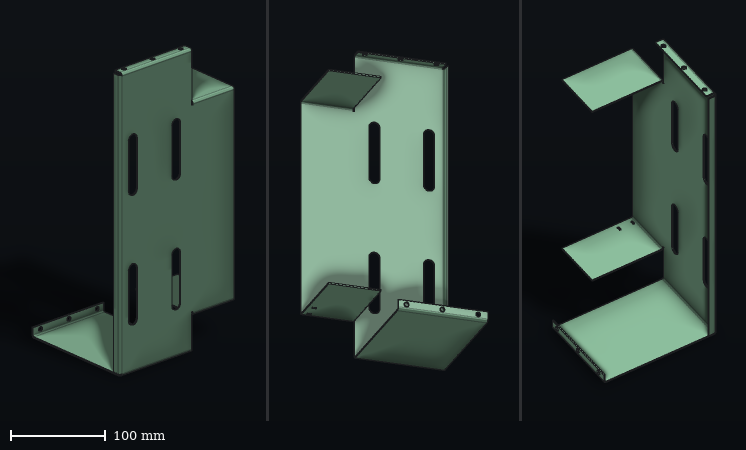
import cadquery as cq
length_x = 141.0
width_y = 161.69
height_z = 348.2

sheet = 1.6
bend_inside = sheet
bend_outside = bend_inside + sheet

lip_height = 11.7
top_flange_length = 11.5
side_flange_length = 10.3
corner_gap = 0.9

base_width = 100.0
base_start_y = 1.69
plate_end_y = base_start_y + base_width
wing_bottom_z = 41.5
wing_top_z = 287.2
shelf_length = 90.0
relief_width = 1.5
shelf_start_y = plate_end_y + relief_width
relief_overrun = 0.9
relief_depth = bend_outside + relief_overrun

hole_diameter = 5.1
hole_count = 3
hole_pitch = 40.0
first_hole_offset = 10.85
first_hole_y = base_start_y + first_hole_offset
hole_ys = [first_hole_y + i * hole_pitch for i in range(hole_count)]
lip_hole_z = 7.1
top_hole_x = 7.5
slot_width = 12.0
slot_length = 70.0
slot_ys = [18.5, 79.5]
slot_zs = [89.9, 238.8]
tie_slot_width = 2.0
tie_slot_length = 4.5
tie_slot_edge_distance = 7.5
tie_slot_y = width_y - tie_slot_edge_distance
tie_slot_xs = [-6.0, -23.0]


def block(x, y, z):
    """Box given by its (low, high) limits along each axis."""
    box = cq.Workplane("XY").box(x[1] - x[0], y[1] - y[0], z[1] - z[0], centered=False)
    return box.translate((x[0], y[0], z[0]))


def folded_channel(x_front, y, z):
    """Plate with its outer face on x = 0 and a flange at each z limit, reaching to x_front."""
    outer = block((x_front, 0), y, z).edges("|Y and >X").fillet(bend_outside)
    inner = block((x_front, -sheet), y, (z[0] + sheet, z[1] - sheet))
    return outer.cut(inner.edges("|Y and >X").fillet(bend_inside))


def base_with_lip():
    """Floor of the bracket, folded up into the lip at -X and into the plate at +X."""
    y = (base_start_y, plate_end_y)
    outer = block((-length_x, 0), y, (0, lip_height))
    outer = outer.edges("|Y and <Z").fillet(bend_outside)
    inner = block((sheet - length_x, -sheet), y, (sheet, lip_height))
    floor = outer.cut(inner.edges("|Y and <Z").fillet(bend_inside))
    corner_waste = block((-bend_outside, 0), (0, bend_outside), (bend_outside, lip_height))
    return floor.cut(corner_waste)


def back_plate():
    """Upright plate with the short flange along its top edge."""
    y = (bend_outside, plate_end_y)
    plate = folded_channel(-top_flange_length, y, (0, height_z))
    return plate.cut(block((-top_flange_length, -bend_outside), y, (0, bend_outside)))


def side_flange():
    """Stiffening flange along the -Y edge of the plate, clear of the other flanges."""
    z = (sheet + corner_gap, height_z - sheet - corner_gap)
    y_limit = 2 * bend_outside
    outer = block((-side_flange_length, 0), (0, y_limit), z)
    outer = outer.edges("|Z and >X and <Y").fillet(bend_outside)
    inner = block((-side_flange_length, -sheet), (sheet, y_limit), z)
    folded = outer.cut(inner.edges("|Z and >X and <Y").fillet(bend_inside))
    return folded.intersect(block((-side_flange_length, 0), (0, bend_outside), z))


def shelf_wing():
    """Extension of the plate with a shelf folded forward at its top and its bottom."""
    wing = folded_channel(-shelf_length, (shelf_start_y, width_y), (wing_bottom_z, wing_top_z))
    web_z = (wing_bottom_z + relief_depth, wing_top_z - relief_depth)
    return wing.union(block((-sheet, 0), (plate_end_y, shelf_start_y), web_z))


def slots():
    """Upright mounting slots through the plate."""
    centres = [(y, z) for y in slot_ys for z in slot_zs]
    tool = cq.Workplane("YZ").pushPoints(centres).slot2D(slot_length, slot_width, 90)
    return tool.extrude(-sheet)


def lip_holes():
    """Row of round holes through the front lip."""
    centres = [(y, lip_hole_z) for y in hole_ys]
    tool = cq.Workplane("YZ", origin=(-length_x, 0, 0)).pushPoints(centres)
    return tool.circle(hole_diameter / 2).extrude(sheet)


def top_holes():
    """Row of round holes through the top flange."""
    centres = [(-top_hole_x, y) for y in hole_ys]
    tool = cq.Workplane("XY", origin=(0, 0, height_z)).pushPoints(centres)
    return tool.circle(hole_diameter / 2).extrude(-sheet)


def tie_slots():
    """Pair of narrow slots in the lower shelf, long in Y, for a cable tie."""
    centres = [(x, tie_slot_y) for x in tie_slot_xs]
    tool = cq.Workplane("XY", origin=(0, 0, wing_bottom_z)).pushPoints(centres)
    return tool.rect(tie_slot_width, tie_slot_length).extrude(sheet)


result = back_plate().union(base_with_lip()).union(side_flange()).union(shelf_wing())
result = result.cut(slots()).cut(lip_holes()).cut(top_holes()).cut(tie_slots())